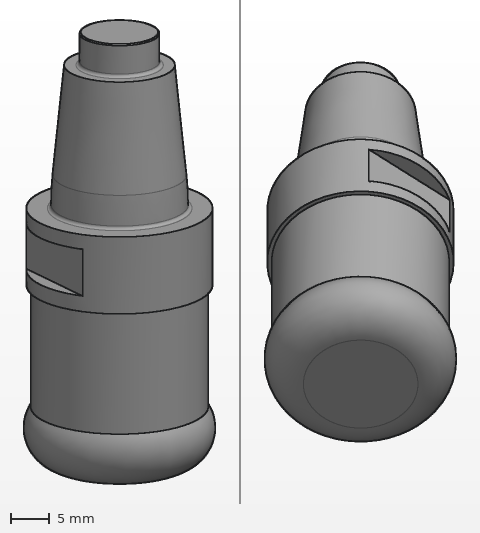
import cadquery as cq
import math

foot_rim_radius = 5.0
foot_flat_radius = 7.45

barrel_radius = 23.05 / 2
collar_radius = 24.2 / 2
collar_bottom = 24.5
collar_top = 35.0

flats_across = 20.05
flats_bottom = 26.6
flats_top = 33.0

neck_base_radius = 8.9
neck_curve_top_radius = 8.7
neck_curve_top = 39.6
neck_top_radius = 7.2
neck_top = 54.5

stud_radius = 10.4 / 2
stud_top = 59.0
stud_chamfer = 0.2

base_fillet = 0.5

rim_run = barrel_radius - foot_flat_radius
seat_height = foot_rim_radius + math.sqrt(foot_rim_radius**2 - rim_run**2)


def concave_fillet(profile, radius, base_height):
    """Add a quarter-round from a level face up to a vertical wall of the given radius."""
    offset = base_fillet * (1 - math.sqrt(0.5))
    return (
        profile.lineTo(radius + base_fillet, base_height)
        .threePointArc((radius + offset, base_height + offset), (radius, base_height + base_fillet))
    )


def revolve_about_z(profile):
    return profile.close().revolve(360, (0, 0, 0), (0, 1, 0))


def make_foot():
    rim_outermost = (foot_flat_radius + foot_rim_radius, foot_rim_radius)
    profile = (
        cq.Workplane("XZ")
        .lineTo(foot_flat_radius, 0)
        .threePointArc(rim_outermost, (barrel_radius, seat_height))
        .lineTo(0, seat_height)
    )
    return revolve_about_z(profile)


def make_turned_body():
    profile = (
        cq.Workplane("XZ")
        .moveTo(0, seat_height)
        .lineTo(barrel_radius, seat_height)
        .lineTo(barrel_radius, collar_bottom)
        .lineTo(collar_radius, collar_bottom)
        .lineTo(collar_radius, collar_top)
    )
    profile = concave_fillet(profile, neck_base_radius, collar_top)
    profile = (
        profile.tangentArcPoint((neck_curve_top_radius, neck_curve_top), relative=False)
        .lineTo(neck_top_radius, neck_top)
    )
    profile = concave_fillet(profile, stud_radius, neck_top)
    profile = (
        profile.lineTo(stud_radius, stud_top - stud_chamfer)
        .lineTo(stud_radius - stud_chamfer, stud_top)
        .lineTo(0, stud_top)
    )
    return revolve_about_z(profile)


def cut_wrench_flats(body):
    flat_height = flats_top - flats_bottom
    cutter_depth = collar_radius
    for side in (-1, 1):
        cutter_center = side * (flats_across + cutter_depth) / 2
        cutter = (
            cq.Workplane("XY", origin=(0, cutter_center, flats_bottom))
            .box(2 * collar_radius, cutter_depth, flat_height, centered=(True, True, False))
        )
        body = body.cut(cutter)
    return body


foot = make_foot()
body = cut_wrench_flats(make_turned_body())

result = cq.Compound.makeCompound([foot.val(), body.val()])